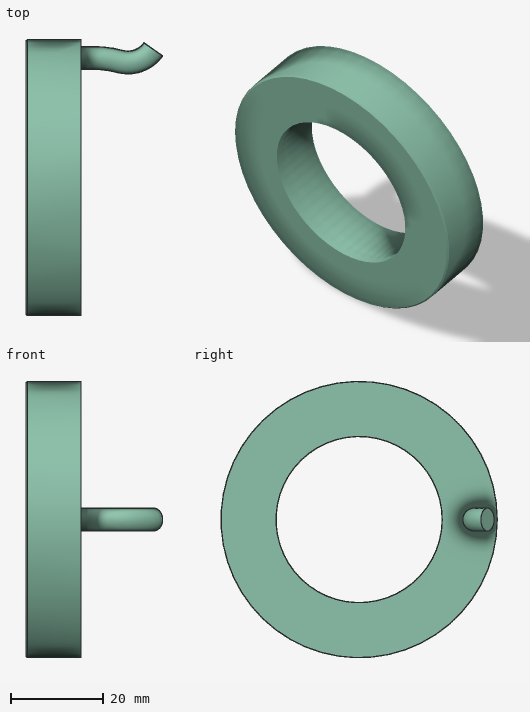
import cadquery as cq
import math

ring_diameter = 60.0
bore_diameter = 36.0
ring_thickness = 12.0
front_chamfer = 0.35

lead_diameter = 5.0
lead_offset = 26.0
straight_length = 2.7
first_bend_radius = 22.2
first_bend_angle = 15.0
second_bend_radius = 6.7
second_bend_angle = 70.0


def make_ring():
    """Flat ring with its outer front edge chamfered."""
    blank = cq.Workplane("YZ").circle(ring_diameter / 2).extrude(ring_thickness)
    chamfered = blank.faces("<X").chamfer(front_chamfer)
    bore = cq.Workplane("YZ").circle(bore_diameter / 2).extrude(ring_thickness)
    return chamfered.cut(bore)


def point_on_arc(center, radius, angle):
    """Point at an angle in degrees, measured from +X, on an arc in the XY plane."""
    turn = math.radians(angle)
    return (center[0] + radius * math.cos(turn), center[1] + radius * math.sin(turn))


def make_lead():
    """Round rod swept along a straight stretch and two opposite bends."""
    start = (ring_thickness, lead_offset)
    bend_start = (ring_thickness + straight_length, lead_offset)

    first_center = (bend_start[0], bend_start[1] - first_bend_radius)
    first_end_angle = 90 - first_bend_angle
    first_middle = point_on_arc(first_center, first_bend_radius, 90 - first_bend_angle / 2)
    first_end = point_on_arc(first_center, first_bend_radius, first_end_angle)

    center_distance = first_bend_radius + second_bend_radius
    second_center = point_on_arc(first_center, center_distance, first_end_angle)
    second_start_angle = first_end_angle - 180
    second_middle_angle = second_start_angle + second_bend_angle / 2
    second_middle = point_on_arc(second_center, second_bend_radius, second_middle_angle)
    second_end_angle = second_start_angle + second_bend_angle
    second_end = point_on_arc(second_center, second_bend_radius, second_end_angle)

    path = (
        cq.Workplane("XY")
        .moveTo(*start)
        .lineTo(*bend_start)
        .threePointArc(first_middle, first_end)
        .threePointArc(second_middle, second_end)
    )
    profile = cq.Workplane("YZ", origin=(*start, 0)).circle(lead_diameter / 2)
    return profile.sweep(path)


ring = make_ring()
lead = make_lead()
result = cq.Compound.makeCompound([ring.val(), lead.val()])